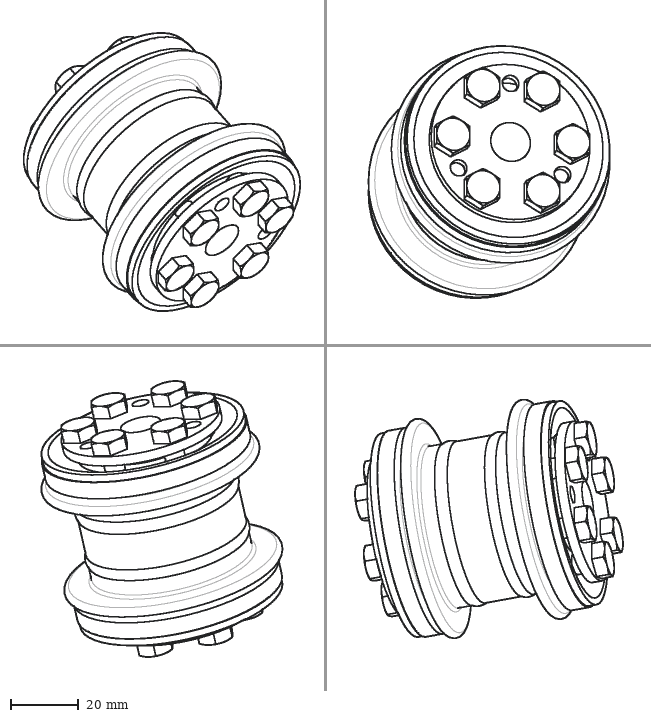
import cadquery as cq
import math

total_length = 69.0

head_height = 4.0
head_sides = 6
head_across_flats = 10.0
head_chamfer_angle = 30.0
bolt_count = 6
bolt_circle_radius = 18.15
plate_thickness = 3.0
plate_diameter = 48.0

plate_hole_count = 3
plate_hole_diameter = 5.0

rim_diameter = 61.3
rim_width = 2.3
flange_diameter = 62.1
flange_width = 5.25
recess_mouth_diameter = 57.25
recess_floor_diameter = 40.7
recess_depth = 3.85

hub_diameter = 28.5
shank_diameter = 6.0

disc_diameter = 66.0
disc_width = 3.0
groove_width = 2.2

drum_diameter = 48.6
disc_fillet = 1.0
band_offset = 7.6
left_band_width = 3.45
right_band_width = 3.9
band_height = 0.55
bore_diameter = 12.0

plate_outer_x = total_length / 2 - head_height
rim_outer_x = plate_outer_x - plate_thickness
rim_inner_x = rim_outer_x - rim_width
flange_inner_x = rim_inner_x - flange_width
disc_outer_x = flange_inner_x - groove_width
disc_inner_x = disc_outer_x - disc_width
recess_floor_x = rim_outer_x - recess_depth

drum_radius = drum_diameter / 2
disc_straight_radius = (disc_diameter - disc_width) / 2


def spun(profile):
    """Solid of revolution about the X axis."""
    return profile.close().revolve(360, (0, 0, 0), (1, 0, 0))


def bar(start_x, end_x, diameter, y=0, z=0):
    """Cylinder parallel to X between two stations."""
    return cq.Workplane("YZ", origin=(start_x, y, z)).circle(diameter / 2).extrude(end_x - start_x)


def circle_points(count, first_angle):
    """(y, z) places spread evenly on the bolt circle."""
    angles = [math.radians(first_angle + 360 * i / count) for i in range(count)]
    return [(bolt_circle_radius * math.cos(a), bolt_circle_radius * math.sin(a)) for a in angles]


bolt_points = circle_points(bolt_count, 0)
plate_hole_points = circle_points(plate_hole_count, 90)


def wheel():
    """Drum outward of the raised band, with its guide disc, groove and recessed flange on the +X side."""
    groove_radius = groove_width / 2
    groove_middle_x = disc_outer_x + groove_radius
    groove_top = drum_radius + groove_radius
    fillet_diagonal = disc_fillet * (1 - math.sqrt(0.5))
    profile = (
        cq.Workplane("XY")
        .moveTo(band_offset, 0)
        .lineTo(band_offset, drum_radius)
        .lineTo(disc_inner_x - disc_fillet, drum_radius)
        .threePointArc(
            (disc_inner_x - fillet_diagonal, drum_radius + fillet_diagonal),
            (disc_inner_x, drum_radius + disc_fillet),
        )
        .lineTo(disc_inner_x, disc_straight_radius)
        .threePointArc(
            (disc_inner_x + disc_width / 2, disc_diameter / 2),
            (disc_outer_x, disc_straight_radius),
        )
        .lineTo(disc_outer_x, groove_top)
        .threePointArc((groove_middle_x, drum_radius), (flange_inner_x, groove_top))
        .lineTo(flange_inner_x, flange_diameter / 2)
        .lineTo(rim_inner_x, flange_diameter / 2)
        .lineTo(rim_inner_x, rim_diameter / 2)
        .lineTo(rim_outer_x, rim_diameter / 2)
        .lineTo(rim_outer_x, recess_mouth_diameter / 2)
        .lineTo(recess_floor_x, recess_floor_diameter / 2)
        .lineTo(recess_floor_x, 0)
    )
    return spun(profile)


def bolt_head(y, z):
    """Hexagonal head with corners along Z, its outer corners cut by a cone."""
    flat_radius = head_across_flats / 2
    corner_radius = flat_radius / math.cos(math.pi / head_sides)
    chamfer_length = (corner_radius - flat_radius) * math.tan(math.radians(head_chamfer_angle))
    hexagon = (
        cq.Workplane("YZ")
        .polygon(head_sides, 2 * corner_radius)
        .extrude(head_height)
        .rotate((0, 0, 0), (1, 0, 0), 90)
    )
    envelope = spun(
        cq.Workplane("XY")
        .lineTo(0, corner_radius)
        .lineTo(head_height - chamfer_length, corner_radius)
        .lineTo(head_height, flat_radius)
        .lineTo(head_height, 0)
    )
    return hexagon.intersect(envelope).translate((plate_outer_x, y, z))


def end_assembly():
    """Wheel, end plate, hub, bolt shanks and heads of the +X end."""
    end = wheel().union(bar(rim_outer_x, plate_outer_x, plate_diameter))
    end = end.union(bar(recess_floor_x, rim_outer_x, hub_diameter))
    for y, z in bolt_points:
        end = end.union(bar(recess_floor_x, rim_outer_x, shank_diameter, y, z))
        end = end.union(bolt_head(y, z))
    for y, z in plate_hole_points:
        end = end.cut(bar(rim_outer_x, plate_outer_x, plate_hole_diameter, y, z))
    return end


def band(middle_x, width):
    """Raised band around the drum with an arched crown."""
    start_x = middle_x - width / 2
    end_x = middle_x + width / 2
    profile = (
        cq.Workplane("XY")
        .moveTo(start_x, 0)
        .lineTo(start_x, drum_radius)
        .threePointArc((middle_x, drum_radius + band_height), (end_x, drum_radius))
        .lineTo(end_x, 0)
    )
    return spun(profile)


right_end = end_assembly()
result = right_end.union(right_end.mirror("YZ"))
result = result.union(bar(-band_offset, band_offset, drum_diameter))
result = result.union(band(-band_offset, left_band_width))
result = result.union(band(band_offset, right_band_width))
result = result.cut(bar(-total_length / 2, total_length / 2, bore_diameter))